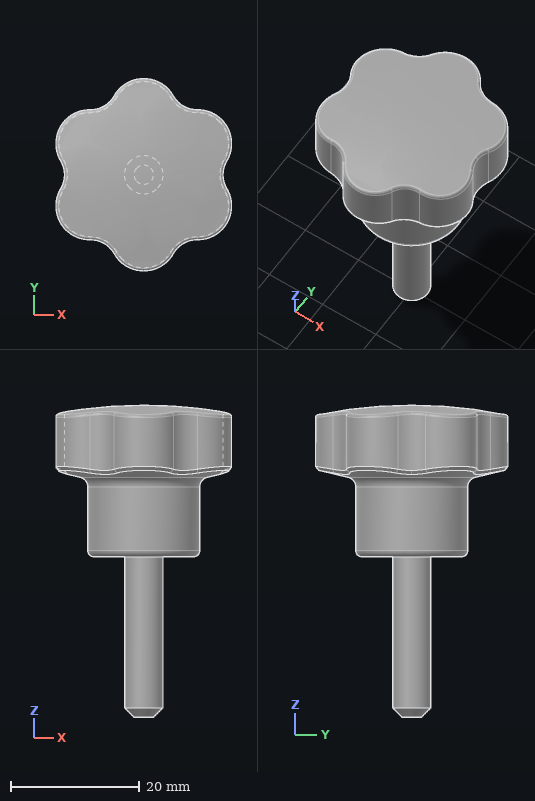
import cadquery as cq
import math


STUD_DIAMETER = 6.0
STUD_LENGTH = 25.0
STUD_TIP_RADIUS = 1.5
STUD_TIP_HEIGHT = 1.5

HUB_DIAMETER = 17.5
HUB_RADIUS = HUB_DIAMETER / 2
HUB_EDGE_RADIUS = 1.0
NECK_RADIUS = 1.5

LOBE_COUNT = 6
HEAD_RADIUS = 15.0
LOBE_RADIUS = 5.3
VALLEY_RADIUS = 4.2
HEAD_TOP = 23.65
DOME_RADIUS = 74.0
UNDERSIDE_HUB_Z = 12.1
UNDERSIDE_RIM_Z = 13.6
TOP_EDGE_RADIUS = 0.5
UNDERSIDE_CHAMFER = 0.5

LOBE_PITCH = 2 * math.pi / LOBE_COUNT
BLANK_MARGIN = 1.0
BLANK_RADIUS = HEAD_RADIUS + BLANK_MARGIN


def polar(radius, angle):
    return (radius * math.cos(angle), radius * math.sin(angle))


def star_outline():
    """Closed outline of convex lobes joined by tangent concave valleys."""
    lobe_center_radius = HEAD_RADIUS - LOBE_RADIUS
    half_spacing = lobe_center_radius * math.sin(LOBE_PITCH / 2)
    center_gap = LOBE_RADIUS + VALLEY_RADIUS
    valley_center_radius = lobe_center_radius * math.cos(LOBE_PITCH / 2) + math.sqrt(
        center_gap**2 - half_spacing**2
    )
    valley_bottom_radius = valley_center_radius - VALLEY_RADIUS

    tangent_across = half_spacing * VALLEY_RADIUS / center_gap
    tangent_along = valley_center_radius - math.sqrt(VALLEY_RADIUS**2 - tangent_across**2)
    tangent_radius = math.hypot(tangent_along, tangent_across)
    tangent_angle = math.atan2(tangent_across, tangent_along)

    outline = cq.Workplane("XY").moveTo(*polar(tangent_radius, -tangent_angle))
    for index in range(LOBE_COUNT):
        valley_angle = index * LOBE_PITCH
        next_valley_angle = valley_angle + LOBE_PITCH
        outline = outline.threePointArc(
            polar(valley_bottom_radius, valley_angle),
            polar(tangent_radius, valley_angle + tangent_angle),
        )
        outline = outline.threePointArc(
            polar(HEAD_RADIUS, valley_angle + LOBE_PITCH / 2),
            polar(tangent_radius, next_valley_angle - tangent_angle),
        )
    return outline.close()


def dome_height(radius):
    return HEAD_TOP - DOME_RADIUS + math.sqrt(DOME_RADIUS**2 - radius**2)


def underside_height(radius):
    slope = (UNDERSIDE_RIM_Z - UNDERSIDE_HUB_Z) / (HEAD_RADIUS - HUB_RADIUS)
    return UNDERSIDE_HUB_Z + slope * (radius - HUB_RADIUS)


def make_head():
    """Domed star with a conical underside, a rounded upper rim and a chamfered lower rim."""
    blank = (
        cq.Workplane("XZ")
        .moveTo(0, underside_height(0))
        .lineTo(BLANK_RADIUS, underside_height(BLANK_RADIUS))
        .lineTo(BLANK_RADIUS, dome_height(BLANK_RADIUS))
        .threePointArc((BLANK_RADIUS / 2, dome_height(BLANK_RADIUS / 2)), (0, HEAD_TOP))
        .close()
        .revolve(360, (0, 0, 0), (0, 1, 0))
    )
    head = star_outline().extrude(HEAD_TOP).intersect(blank)
    head = head.faces(">Z").edges().fillet(TOP_EDGE_RADIUS)
    return head.faces("<Z").edges().chamfer(UNDERSIDE_CHAMFER)


def make_hub():
    """Round hub with a rounded lower edge and a concave neck flaring into the head."""
    underside_angle = math.atan2(UNDERSIDE_RIM_Z - UNDERSIDE_HUB_Z, HEAD_RADIUS - HUB_RADIUS)
    neck_center_radius = HUB_RADIUS + NECK_RADIUS
    neck_center_z = underside_height(neck_center_radius) - NECK_RADIUS / math.cos(underside_angle)
    neck_end_angle = math.pi / 2 + underside_angle
    neck_mid_angle = (math.pi + neck_end_angle) / 2

    def neck_point(angle):
        across, up = polar(NECK_RADIUS, angle)
        return (neck_center_radius + across, neck_center_z + up)

    core_top = (UNDERSIDE_RIM_Z + HEAD_TOP) / 2
    edge_mid = HUB_EDGE_RADIUS * (1 - math.sqrt(0.5))
    neck_end = neck_point(neck_end_angle)
    return (
        cq.Workplane("XZ")
        .lineTo(HUB_RADIUS - HUB_EDGE_RADIUS, 0)
        .threePointArc((HUB_RADIUS - edge_mid, edge_mid), (HUB_RADIUS, HUB_EDGE_RADIUS))
        .lineTo(HUB_RADIUS, neck_center_z)
        .threePointArc(neck_point(neck_mid_angle), neck_end)
        .lineTo(neck_end[0], core_top)
        .lineTo(0, core_top)
        .close()
        .revolve(360, (0, 0, 0), (0, 1, 0))
    )


def make_stud():
    """Plain stud with a conical tip, rooted inside the hub."""
    root_z = UNDERSIDE_HUB_Z / 2
    return (
        cq.Workplane("XZ")
        .moveTo(0, -STUD_LENGTH)
        .lineTo(STUD_TIP_RADIUS, -STUD_LENGTH)
        .lineTo(STUD_DIAMETER / 2, -STUD_LENGTH + STUD_TIP_HEIGHT)
        .lineTo(STUD_DIAMETER / 2, root_z)
        .lineTo(0, root_z)
        .close()
        .revolve(360, (0, 0, 0), (0, 1, 0))
    )


result = make_head().union(make_hub()).union(make_stud())